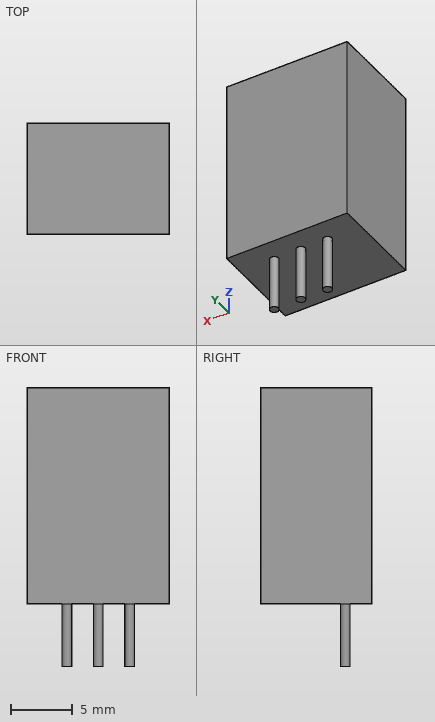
import cadquery as cq

case_length = 11.5
case_width = 9.0
case_height = 17.5

pin_diameter = 0.8
pin_length = 5.1
pin_pitch = 2.54
pin_count = 3
pin_row_inset = 2.15
pin_row_y = case_width / 2 - pin_row_inset


def make_case():
    """Plain rectangular block centred on the Z axis."""
    return cq.Workplane("XY").box(
        case_length, case_width, case_height, centered=(True, True, False)
    )


def make_pin(x):
    """Straight round pin whose top end touches the underside of the case."""
    return (
        cq.Workplane("XY")
        .center(x, pin_row_y)
        .circle(pin_diameter / 2)
        .extrude(-pin_length)
    )


case = make_case()

first_pin_x = -pin_pitch * (pin_count - 1) / 2
pins = [make_pin(first_pin_x + i * pin_pitch) for i in range(pin_count)]

result = cq.Compound.makeCompound([case.val(), *[pin.val() for pin in pins]])